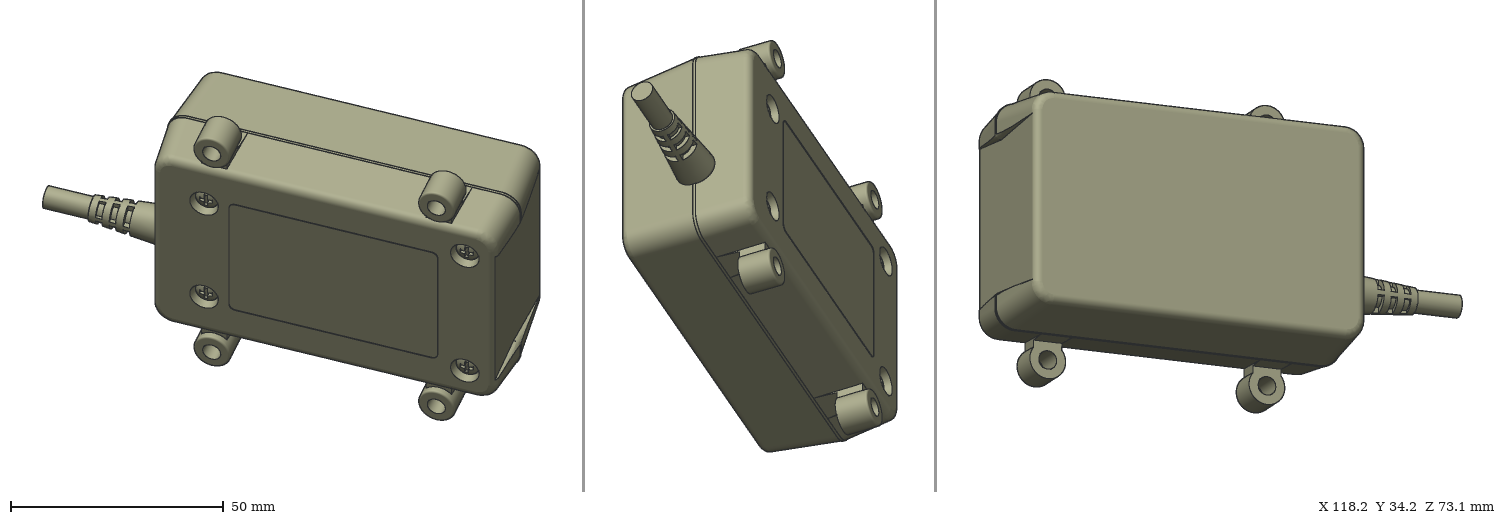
import cadquery as cq
import math

OVERALL_LENGTH = 118.2
BOX_LENGTH = 88.0
BOX_WIDTH = 55.3
LOWER_DEPTH = 13.7
LOWER_DRAFT = 5.0
LIP_DEPTH = 0.7
UPPER_DEPTH = 19.5
UPPER_DRAFT = 5.0
HALF_INSET = 0.1
CORNER_RADIUS = 5.0
RIM_RADIUS = 2.0

END_RECESS_DEPTH = 1.7
END_RECESS_WIDTH = 37.4
END_RECESS_EDGE_RADIUS = 1.5
END_RECESS_DRAFT = 5.0

LABEL_LENGTH = 52.0
LABEL_WIDTH = 34.0
LABEL_OFFSET = 2.2
LABEL_RADIUS = 1.5
LABEL_DEPTH = 0.2

LUG_SPACING_X = 56.0
LUG_SPACING_Z = 64.0
LUG_DIAMETER = 9.14
LUG_HOLE_DIAMETER = 4.5
LUG_TOP = -5.8
LUG_OVERHANG = 0.27
LUG_EDGE_RADIUS = 0.5
ARM_TOP_WIDTH = 8.1
ARM_FRONT_WIDTH = 6.3
ARM_FRONT = -12.2

SCREW_PLACES = [(-30.0, 15.0), (35.0, 18.5)]
SCREW_POCKET_DIAMETER = 7.1
SCREW_POCKET_DEPTH = 2.4
SCREW_POCKET_DRAFT = 13.0
SCREW_HEAD_DIAMETER = 5.8
SCREW_HEAD_RIM_HEIGHT = 0.4
SCREW_DOME_HEIGHT = 1.0
CROSS_LENGTH = 3.2
CROSS_WIDTH = 0.9
CROSS_DEPTH = 1.0

CABLE_Y = 0.2
CABLE_Z = -9.0
CABLE_DIAMETER = 5.5
CABLE_END = BOX_LENGTH / 2 - OVERALL_LENGTH
RELIEF_END = -62.7
RELIEF_SMALL_DIAMETER = 6.5
RELIEF_LARGE_DIAMETER = 10.0
RELIEF_GROOVE_COUNT = 3
RELIEF_GROOVE_WIDTH = 1.65
RELIEF_GROOVE_PITCH = 3.55
RELIEF_GROOVE_START = -60.8
RELIEF_WEB_WIDTH = 1.2

RELIEF_ANCHOR = 2.0

FRONT_Y = -LOWER_DEPTH


def facing_plane(y, direction):
    """Plane at height y whose normal points along +Y (1) or -Y (-1)."""
    return cq.Plane(origin=(0, y, 0), xDir=(1, 0, 0), normal=(0, direction, 0))


def drafted_half(y, direction, depth, draft):
    """Rectangular half that narrows away from the parting line."""
    half = (
        cq.Workplane(facing_plane(y, direction))
        .rect(BOX_LENGTH - 2 * HALF_INSET, BOX_WIDTH - 2 * HALF_INSET)
        .extrude(depth, taper=draft)
    )
    end_face = ">Y" if direction > 0 else "<Y"
    half = half.edges("not(#Y)").fillet(CORNER_RADIUS)
    return half.faces(end_face).edges().fillet(RIM_RADIUS)


def make_box():
    lower = drafted_half(0, -1, LOWER_DEPTH, LOWER_DRAFT)
    upper = drafted_half(LIP_DEPTH, 1, UPPER_DEPTH, UPPER_DRAFT)
    lip = (
        cq.Workplane(facing_plane(0, 1))
        .rect(BOX_LENGTH, BOX_WIDTH)
        .extrude(LIP_DEPTH)
        .edges("|Y")
        .fillet(CORNER_RADIUS)
    )
    return lower.union(lip).union(upper)


def end_recess_part(depth):
    """Recess from Y = 0 to the given Y; its two ends spread apart with the draft."""
    recess_floor = BOX_LENGTH / 2 - END_RECESS_DEPTH
    outer = BOX_LENGTH / 2
    radius = END_RECESS_EDGE_RADIUS
    spread = abs(depth) * math.tan(math.radians(END_RECESS_DRAFT))
    wires = []
    for y, half_width in ((0, END_RECESS_WIDTH / 2), (depth, END_RECESS_WIDTH / 2 + spread)):
        profile = (
            cq.Workplane(cq.Plane(origin=(0, y, 0), xDir=(0, 0, 1), normal=(0, 1, 0)))
            .moveTo(-half_width, recess_floor)
            .lineTo(half_width, recess_floor)
            .lineTo(half_width, outer - radius)
            .radiusArc((half_width + radius, outer), radius)
            .lineTo(-half_width - radius, outer)
            .radiusArc((-half_width, outer - radius), radius)
            .close()
        )
        wires.append(profile.val())
    return cq.Workplane(cq.Solid.makeLoft(wires, True))


def cut_end_recess(body):
    return body.cut(end_recess_part(FRONT_Y)).cut(end_recess_part(LIP_DEPTH + UPPER_DEPTH))


def cut_label(body):
    label = (
        cq.Workplane(facing_plane(FRONT_Y, 1))
        .center(LABEL_OFFSET, 0)
        .rect(LABEL_LENGTH, LABEL_WIDTH)
        .extrude(LABEL_DEPTH)
        .edges("|Y")
        .fillet(LABEL_RADIUS)
    )
    return body.cut(label)


def arm_prism(height):
    """Tapered rib that reaches from the middle of the box to the given Z."""
    return (
        cq.Workplane("XY")
        .moveTo(-ARM_TOP_WIDTH / 2, 0)
        .lineTo(ARM_TOP_WIDTH / 2, 0)
        .lineTo(ARM_FRONT_WIDTH / 2, ARM_FRONT)
        .lineTo(-ARM_FRONT_WIDTH / 2, ARM_FRONT)
        .close()
        .extrude(height)
    )


def make_lug():
    """Lug on the +Z side, centred on X = 0."""
    lug_z = LUG_SPACING_Z / 2
    lug_length = LUG_TOP - FRONT_Y + LUG_OVERHANG
    barrel = (
        cq.Workplane(facing_plane(LUG_TOP, -1))
        .center(0, lug_z)
        .circle(LUG_DIAMETER / 2)
        .extrude(lug_length)
        .faces("<Y")
        .edges()
        .fillet(LUG_EDGE_RADIUS)
    )
    hole = (
        cq.Workplane(facing_plane(LUG_TOP, -1))
        .center(0, lug_z)
        .circle(LUG_HOLE_DIAMETER / 2)
        .extrude(lug_length)
    )
    below_lug_top = (
        cq.Workplane("XY")
        .box(ARM_TOP_WIDTH, LUG_TOP - ARM_FRONT, lug_z, centered=(True, False, False))
        .translate((0, ARM_FRONT, 0))
    )
    bridge = arm_prism(lug_z).intersect(below_lug_top)
    return arm_prism(BOX_WIDTH / 2 - HALF_INSET).union(bridge).union(barrel).cut(hole)


def add_lugs(body):
    lug = make_lug()
    opposite_lug = lug.mirror("XY")
    for x in (-LUG_SPACING_X / 2, LUG_SPACING_X / 2):
        body = body.union(lug.translate((x, 0, 0)))
        body = body.union(opposite_lug.translate((x, 0, 0)))
    return body


def make_screw_head():
    """Domed head with a cross recess, seated at Y = 0 and facing -Y."""
    radius = SCREW_HEAD_DIAMETER / 2
    top = -SCREW_HEAD_RIM_HEIGHT - SCREW_DOME_HEIGHT
    dome_radius = (radius**2 + SCREW_DOME_HEIGHT**2) / (2 * SCREW_DOME_HEIGHT)
    head = (
        cq.Workplane("XY")
        .lineTo(radius, 0)
        .lineTo(radius, -SCREW_HEAD_RIM_HEIGHT)
        .radiusArc((0, top), dome_radius)
        .close()
        .revolve(360, (0, 0, 0), (0, 1, 0))
    )
    cross_plane = cq.Workplane(facing_plane(top, 1))
    level_slot = cross_plane.rect(CROSS_LENGTH, CROSS_WIDTH).extrude(CROSS_DEPTH)
    upright_slot = cross_plane.rect(CROSS_WIDTH, CROSS_LENGTH).extrude(CROSS_DEPTH)
    return head.cut(level_slot).cut(upright_slot)


def add_screws(body):
    head = make_screw_head()
    pocket = (
        cq.Workplane(facing_plane(FRONT_Y, 1))
        .circle(SCREW_POCKET_DIAMETER / 2)
        .extrude(SCREW_POCKET_DEPTH, taper=SCREW_POCKET_DRAFT)
    )
    seat_y = FRONT_Y + SCREW_POCKET_DEPTH
    for x, offset in SCREW_PLACES:
        for z in (-offset, offset):
            body = body.cut(pocket.translate((x, 0, z)))
            body = body.union(head.translate((x, seat_y, z)))
    return body


def make_relief():
    """Cone along X with ring grooves, each broken by four webs."""
    inner_end = -BOX_LENGTH / 2 + RELIEF_ANCHOR
    relief = (
        cq.Workplane("XY")
        .moveTo(RELIEF_END, 0)
        .lineTo(RELIEF_END, RELIEF_SMALL_DIAMETER / 2)
        .lineTo(-BOX_LENGTH / 2, RELIEF_LARGE_DIAMETER / 2)
        .lineTo(inner_end, RELIEF_LARGE_DIAMETER / 2)
        .lineTo(inner_end, 0)
        .close()
        .revolve(360, (0, 0, 0), (1, 0, 0))
    )
    for index in range(RELIEF_GROOVE_COUNT):
        start = RELIEF_GROOVE_START + index * RELIEF_GROOVE_PITCH
        groove_plane = cq.Workplane("YZ", origin=(start, 0, 0))
        ring = (
            groove_plane.circle(RELIEF_LARGE_DIAMETER / 2)
            .circle(CABLE_DIAMETER / 2)
            .extrude(RELIEF_GROOVE_WIDTH)
        )
        upright_web = groove_plane.rect(RELIEF_WEB_WIDTH, RELIEF_LARGE_DIAMETER).extrude(RELIEF_GROOVE_WIDTH)
        level_web = groove_plane.rect(RELIEF_LARGE_DIAMETER, RELIEF_WEB_WIDTH).extrude(RELIEF_GROOVE_WIDTH)
        relief = relief.cut(ring.cut(upright_web).cut(level_web))
    return relief


def add_cable(body):
    cable = (
        cq.Workplane("YZ", origin=(CABLE_END, 0, 0))
        .circle(CABLE_DIAMETER / 2)
        .extrude(RELIEF_END - CABLE_END)
    )
    return body.union(cable.union(make_relief()).translate((0, CABLE_Y, CABLE_Z)))


result = make_box()
result = cut_end_recess(result)
result = cut_label(result)
result = add_lugs(result)
result = add_screws(result)
result = add_cable(result)